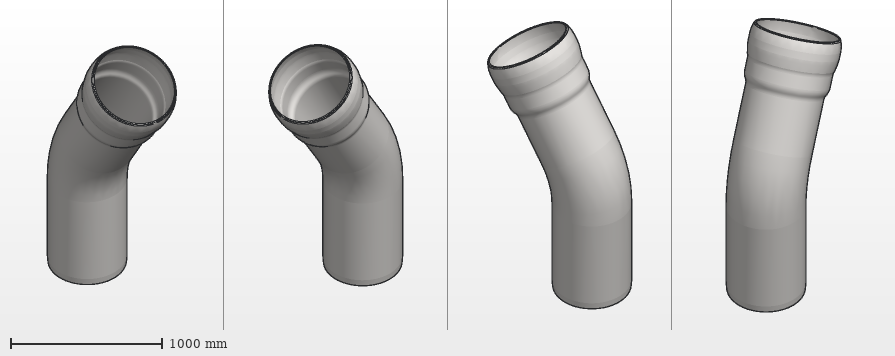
import cadquery as cq
import math

pipe_diameter = 530.0
wall = 10.0
pipe_radius = pipe_diameter / 2
bend_angle = 30
bend_radius = 822.0
lower_length = 700.0
upper_length = 800.0

taper_length = 49.0
taper_depth = 4.0

seat_radius = 579.0 / 2
crown_radius = 618.0 / 2
lip_radius = 295.0
mouth_radius = 288.0
crown_foot_radius = 296.0

neck_start = 417.0
neck_turn = 382.0
neck_end = 333.0
seat_end = 244.0
crown_foot = 215.0
crown_start = 130.0
crown_end = 80.0
lip_start = 8.0

bend_end_x = bend_radius * (1 - math.cos(math.radians(bend_angle)))
bend_end_z = lower_length + bend_radius * math.sin(math.radians(bend_angle))


def crown_arc_middle(crown):
    """Midpoint of the arc that leaves the crown, tangent to it, towards the crown foot."""
    run = crown_foot - crown_start
    rise = crown_radius - crown_foot_radius
    arc_radius = (run**2 + rise**2) / (2 * rise)
    half_angle = math.atan2(rise, run)
    drop = arc_radius * (1 - math.cos(half_angle))
    return (crown - drop, upper_length - crown_start - arc_radius * math.sin(half_angle))


def lower_pipe(inset):
    """Straight spigot with its tapered end, shrunk radially by inset."""
    radius = pipe_radius - inset
    return (
        cq.Workplane("XZ")
        .lineTo(radius - taper_depth, 0)
        .lineTo(radius, taper_length)
        .lineTo(radius, lower_length)
        .lineTo(0, lower_length)
        .close()
        .revolve(360, (0, 0), (0, 1))
    )


def bend(inset):
    return (
        cq.Workplane("XY", origin=(0, 0, lower_length))
        .circle(pipe_radius - inset)
        .revolve(bend_angle, (bend_radius, 0), (bend_radius, 1))
    )


def upper_pipe(inset):
    """Straight leg and socket, standing on the bend's tilted end face."""
    pipe = pipe_radius - inset
    seat = seat_radius - inset
    crown = crown_radius - inset
    turn_fraction = (neck_start - neck_turn) / (neck_start - neck_end)
    neck_middle = (pipe + turn_fraction * (seat - pipe), upper_length - neck_turn)
    profile = (
        cq.Workplane("XZ")
        .lineTo(pipe, 0)
        .lineTo(pipe, upper_length - neck_start)
        .tangentArcPoint(neck_middle, relative=False)
        .tangentArcPoint((seat, upper_length - neck_end), relative=False)
        .lineTo(seat, upper_length - seat_end)
        .tangentArcPoint((crown_foot_radius - inset, upper_length - crown_foot), relative=False)
        .threePointArc(crown_arc_middle(crown), (crown, upper_length - crown_start))
        .lineTo(crown, upper_length - crown_end)
        .tangentArcPoint((lip_radius - inset, upper_length - lip_start), relative=False)
        .lineTo(mouth_radius - inset, upper_length)
        .lineTo(0, upper_length)
        .close()
    )
    return (
        profile.revolve(360, (0, 0), (0, 1))
        .rotate((0, 0, 0), (0, 1, 0), bend_angle)
        .translate((bend_end_x, 0, bend_end_z))
    )


def pipe_body(inset):
    return lower_pipe(inset).union(bend(inset)).union(upper_pipe(inset))


result = pipe_body(0).cut(pipe_body(wall))